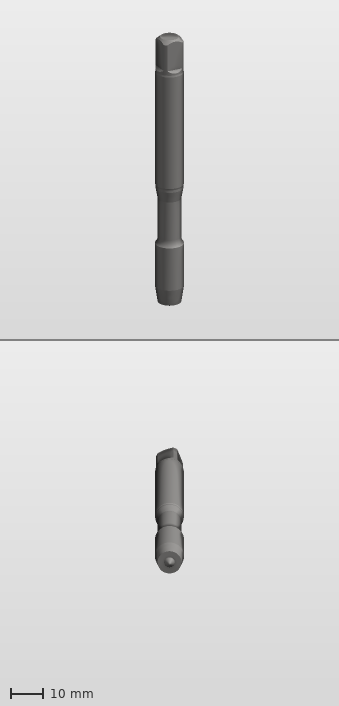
import cadquery as cq
import math

shank_d = 9.0
collar_d = 8.7
neck_d = 7.3
thread_d = 9.1
lead_tip_d = 7.4
point_d = 3.3
top_face_d = 5.9
square_width = 7.0

lead_bottom_z = 1.8
lead_top_z = 7.2
thread_top_z = 21.6
neck_bottom_z = 23.8
split_z = 36.6
taper_bottom_z = 36.9
taper_top_z = 40.4
shank_bottom_z = 41.8
shank_top_z = 79.7
shank_chamfer_h = 0.55
flat_bottom_z = 81.7
square_chamfer_z = 90.5
total_length = 91.7


def thread_section():
    """Threaded end: centre point, tapered lead, thread envelope and neck."""
    shoulder_h = neck_bottom_z - thread_top_z
    shoulder_depth = (thread_d - neck_d) / 2
    shoulder_r = (shoulder_h**2 + shoulder_depth**2) / (2 * shoulder_depth)
    half_angle = math.asin(shoulder_h / shoulder_r) / 2
    arc_mid = (
        neck_d / 2 + shoulder_r * (1 - math.cos(half_angle)),
        neck_bottom_z - shoulder_r * math.sin(half_angle),
    )
    return (
        cq.Workplane("XZ")
        .moveTo(0, 0)
        .lineTo(point_d / 2, lead_bottom_z)
        .lineTo(lead_tip_d / 2, lead_bottom_z)
        .lineTo(thread_d / 2, lead_top_z)
        .lineTo(thread_d / 2, thread_top_z)
        .threePointArc(arc_mid, (neck_d / 2, neck_bottom_z))
        .lineTo(neck_d / 2, split_z)
        .lineTo(0, split_z)
        .close()
        .revolve(360, (0, 0, 0), (0, 1, 0))
    )


def shank_blank():
    """Round shank with its tapered lower end and chamfered top."""
    outline = [
        (0, split_z),
        (neck_d / 2, split_z),
        (neck_d / 2, taper_bottom_z),
        (collar_d / 2, taper_top_z),
        (collar_d / 2, shank_bottom_z - shank_chamfer_h),
        (shank_d / 2, shank_bottom_z),
        (shank_d / 2, shank_top_z),
        (collar_d / 2, shank_top_z + shank_chamfer_h),
        (collar_d / 2, square_chamfer_z),
        (top_face_d / 2, total_length),
        (0, total_length),
    ]
    return cq.Workplane("XZ").polyline(outline).close().revolve(360, (0, 0, 0), (0, 1, 0))


def flat_cutter():
    """Removes one flat on the +X side, running out on a 45 degree ramp."""
    flat_x = square_width / 2
    outer_x = shank_d / 2
    outline = [
        (flat_x, flat_bottom_z),
        (outer_x, flat_bottom_z - (outer_x - flat_x)),
        (outer_x, total_length),
        (flat_x, total_length),
    ]
    return cq.Workplane("XZ").polyline(outline).close().extrude(shank_d / 2, both=True)


def shank_section():
    """Shank with the four flats of its driving square."""
    body = shank_blank()
    for side in range(4):
        body = body.cut(flat_cutter().rotate((0, 0, 0), (0, 0, 1), 90 * side))
    return body


threaded_end = thread_section()
shank = shank_section()
result = cq.Compound.makeCompound([threaded_end.val(), shank.val()])